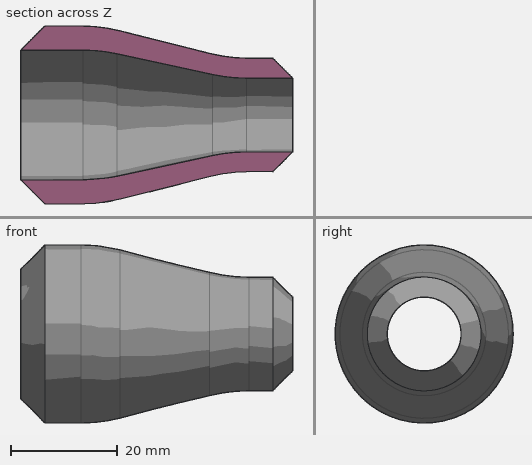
import cadquery as cq
import math

length = 51.0
large_outer_radius = 33.4 / 2
small_outer_radius = 10.65
large_bore_radius = 12.15
small_bore_radius = 6.9

large_bevel_length = 4.55
small_bevel_length = 3.75
taper_start = 11.25
taper_end = 42.75
bore_taper_inset = 0.4
blend_radius = 30.1


def tapered_body(start_radius, end_radius, start_x, end_x, inset=0.0):
    """Solid of revolution: two cylinders joined by a cone with tangent arc blends."""
    blend_start = taper_start + inset
    blend_end = taper_end - inset
    run = blend_end - blend_start
    drop = start_radius - end_radius
    center_rise = 2 * blend_radius - drop
    cone_length = math.sqrt(run**2 + center_rise**2 - (2 * blend_radius) ** 2)
    slope = math.atan2(2 * blend_radius, cone_length) - math.atan2(center_rise, run)

    def large_blend(angle):
        x = blend_start + blend_radius * math.sin(angle)
        return x, start_radius - blend_radius * (1 - math.cos(angle))

    def small_blend(angle):
        x = blend_end - blend_radius * math.sin(angle)
        return x, end_radius + blend_radius * (1 - math.cos(angle))

    return (
        cq.Workplane("XY")
        .moveTo(start_x, 0)
        .lineTo(start_x, start_radius)
        .lineTo(blend_start, start_radius)
        .threePointArc(large_blend(slope / 2), large_blend(slope))
        .lineTo(*small_blend(slope))
        .threePointArc(small_blend(slope / 2), (blend_end, end_radius))
        .lineTo(end_x, end_radius)
        .lineTo(end_x, 0)
        .close()
        .revolve(360, (0, 0, 0), (1, 0, 0))
    )


def bevel_cone(base_x, base_radius, tip_x, tip_radius):
    """Frustum along X between two radii."""
    return (
        cq.Workplane("XY")
        .polyline([(base_x, 0), (base_x, base_radius), (tip_x, tip_radius), (tip_x, 0)])
        .close()
        .revolve(360, (0, 0, 0), (1, 0, 0))
    )


body_start = large_bevel_length
body_end = length - small_bevel_length
body = tapered_body(large_outer_radius, small_outer_radius, body_start, body_end)
large_bevel = bevel_cone(body_start, large_outer_radius, 0, large_bore_radius)
small_bevel = bevel_cone(body_end, small_outer_radius, length, small_bore_radius)

bore = tapered_body(large_bore_radius, small_bore_radius, 0, length, bore_taper_inset)

result = body.union(large_bevel).union(small_bevel).cut(bore)